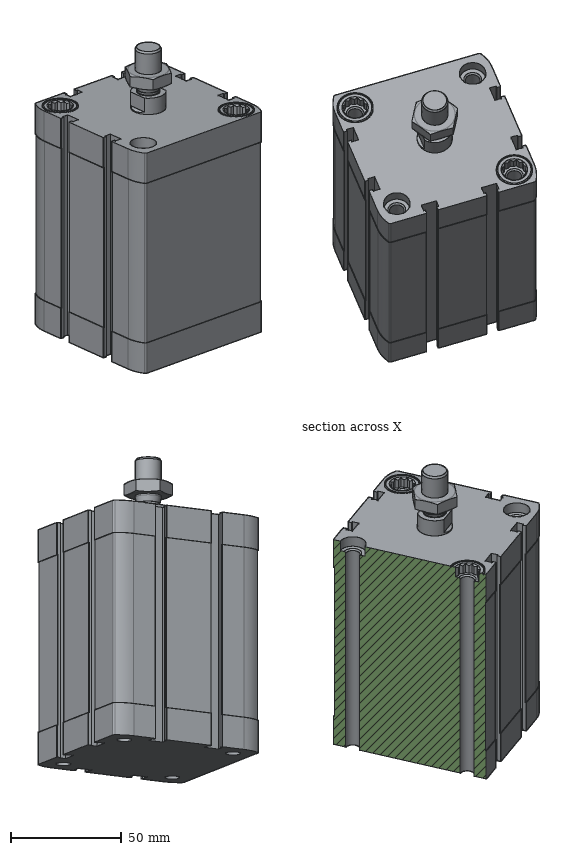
import cadquery as cq
import math

WIDTH = 75.5
TOTAL_HEIGHT = 139.0
ROD_PROJECTION = 30.0
BODY_HEIGHT = TOTAL_HEIGHT - ROD_PROJECTION
CAP_HEIGHT = 15.0
BARREL_INSET = 0.3
HALF = WIDTH / 2

CORNER_FLAT_END = 28.6
CORNER_RADIUS = 16.7
SIDE_BLEND = 1.3

SLOT_OFFSET = 14.5
SLOT_MOUTH = 5.4
SLOT_WIDTH = 7.2
SLOT_MOUTH_CHAMFER = 0.3
SLOT_LIP = 1.8
SLOT_DEPTH = 5.0

HOLE_OFFSET = 28.2
HOLE_DIAMETER = 6.7
HOLE_RIM_DIAMETER = 8.0
HOLE_COUNTERSINK = (HOLE_RIM_DIAMETER - HOLE_DIAMETER) / 2
RECESS_DIAMETER = 12.0
RECESS_DEPTH = 5.0

RING_OUTER = 16.4
RING_INNER = 16.0
RING_TOP = 15.0
RING_CHAMFER = (RING_INNER - RING_TOP) / 2
RING_DEPTH = 0.8
SOCKET_RIM = 12.0
SOCKET_ROOT = 11.4
SOCKET_TIP = 10.1
SOCKET_TEETH = 12
SOCKET_CHAMFER = (SOCKET_RIM - SOCKET_TIP) / 2
SOCKET_DEPTH = 5.0

ROD_DIAMETER = 16.0
SHOULDER_HEIGHT = 8.0
FLATS_WIDTH = 13.0
FLATS_START = 1.3
FLATS_RUNOUT = 0.8
NECK_DIAMETER = 10.1
NECK_BASE_DIAMETER = 10.7
NECK_BASE_HEIGHT = 0.3
NECK_TOP = 9.5
RUNOUT_DIAMETER = 10.7
THREAD_DIAMETER = 12.0
THREAD_START = 12.2
TIP_DIAMETER = 10.7
TIP_CHAMFER = 1.0

NUT_ACROSS_FLATS = 19.0
NUT_THICKNESS = 6.0
NUT_START = 12.9
NUT_FACE_DIAMETER = 18.5
NUT_CHAMFER_ANGLE = 15.0


def quarter_outline(inset):
    """One quarter of the housing cross-section, set back by `inset`, without slots."""
    half = HALF - inset
    radius = CORNER_RADIUS - inset
    blend = SIDE_BLEND - inset
    arc_y = half - radius
    blend_x = half - blend
    reach = radius - blend
    blend_y = arc_y + math.sqrt(reach**2 - (blend_x - CORNER_FLAT_END) ** 2)
    join = math.atan2(blend_y - arc_y, blend_x - CORNER_FLAT_END)

    def arc_point(x, y, size, angle):
        return x + size * math.cos(angle), y + size * math.sin(angle)

    join_point = arc_point(blend_x, blend_y, blend, join)
    return (
        cq.Workplane("XY")
        .lineTo(half, 0)
        .lineTo(half, blend_y)
        .threePointArc(arc_point(blend_x, blend_y, blend, join / 2), join_point)
        .threePointArc(
            arc_point(CORNER_FLAT_END, arc_y, radius, (join + math.pi / 2) / 2),
            (CORNER_FLAT_END, half),
        )
        .lineTo(0, half)
        .close()
    )


def t_slot(inset, height):
    """T-shaped slot cutter for the -Y face, which is set back by `inset`."""
    face = inset - HALF
    lip = SLOT_LIP - HALF
    floor = SLOT_DEPTH - HALF
    mouth = SLOT_MOUTH / 2
    right_side = [
        (mouth + SLOT_MOUTH_CHAMFER, face),
        (mouth, face + SLOT_MOUTH_CHAMFER),
        (mouth, lip),
        (SLOT_WIDTH / 2, lip),
        (SLOT_WIDTH / 2, floor),
    ]
    left_side = [(-x, y) for x, y in reversed(right_side)]
    return cq.Workplane("XY").polyline(right_side + left_side).close().extrude(height)


def body_block(inset, height):
    """Slotted prism of the housing outline, completed from one quarter by mirroring."""
    quarter = quarter_outline(inset).extrude(height)
    half_block = quarter.union(quarter.mirror("YZ"))
    block = half_block.union(half_block.mirror("XZ")).clean()

    for turn in (0, 180, -90):
        for side in (-SLOT_OFFSET, SLOT_OFFSET):
            slot = t_slot(inset, height).translate((side, 0, 0))
            block = block.cut(slot.rotate((0, 0, 0), (0, 0, 1), turn))
    return block


def revolved(points):
    """Solid of revolution about Z from (radius, height) points."""
    return cq.Workplane("XZ").polyline(points).close().revolve(360, (0, 0), (0, 1))


def screw_hole(recess_depth):
    """Through hole with a countersink that starts at the floor of the recess."""
    floor = BODY_HEIGHT - recess_depth
    return revolved(
        [
            (0, 0),
            (HOLE_DIAMETER / 2, 0),
            (HOLE_DIAMETER / 2, floor - HOLE_COUNTERSINK),
            (HOLE_RIM_DIAMETER / 2, floor),
            (0, floor),
        ]
    )


def plain_corner():
    """Cutter for a screw hole below a round recess."""
    recess = cq.Workplane("XY", origin=(0, 0, BODY_HEIGHT)).circle(RECESS_DIAMETER / 2).extrude(-RECESS_DEPTH)
    return recess.union(screw_hole(RECESS_DEPTH))


def ringed_corner():
    """Cutter for a screw hole below a toothed socket, inside a narrow ring groove."""
    top = BODY_HEIGHT
    ring = revolved(
        [
            (RING_OUTER / 2, top),
            (RING_OUTER / 2, top - RING_DEPTH),
            (RING_INNER / 2, top - RING_DEPTH),
            (RING_INNER / 2, top - RING_CHAMFER),
            (RING_TOP / 2, top),
        ]
    )
    lead_in = revolved(
        [
            (0, top),
            (SOCKET_RIM / 2, top),
            (SOCKET_TIP / 2, top - SOCKET_CHAMFER),
            (0, top - SOCKET_CHAMFER),
        ]
    )
    star = []
    for index in range(2 * SOCKET_TEETH):
        angle = index * math.pi / SOCKET_TEETH
        radius = (SOCKET_TIP if index % 2 else SOCKET_ROOT) / 2
        star.append((radius * math.cos(angle), radius * math.sin(angle)))
    socket_top = top - (SOCKET_RIM - SOCKET_ROOT) / 2
    socket = cq.Workplane("XY", origin=(0, 0, socket_top)).polyline(star).close()
    socket = socket.extrude(top - SOCKET_DEPTH - socket_top)
    return ring.union(lead_in).union(socket).union(screw_hole(SOCKET_DEPTH))


def make_housing(rod):
    """Barrel between two end caps, with corner holes and a hole that fits the rod."""
    body = body_block(BARREL_INSET, BODY_HEIGHT - 2 * CAP_HEIGHT).translate((0, 0, CAP_HEIGHT))
    for base in (0, BODY_HEIGHT - CAP_HEIGHT):
        body = body.union(body_block(0, CAP_HEIGHT).translate((0, 0, base)))

    for sign in (-1, 1):
        body = body.cut(ringed_corner().translate((sign * HOLE_OFFSET, sign * HOLE_OFFSET, 0)))
        body = body.cut(plain_corner().translate((sign * HOLE_OFFSET, -sign * HOLE_OFFSET, 0)))

    return body.cut(rod)


def wrench_flat():
    """Cutter for the wrench flat on the +Y side, with a ledge that slopes down and out."""
    flat = FLATS_WIDTH / 2
    edge = ROD_DIAMETER / 2
    start = BODY_HEIGHT + FLATS_START
    shoulder = BODY_HEIGHT + SHOULDER_HEIGHT
    section = cq.Workplane("YZ").polyline(
        [(flat, start), (edge, start - FLATS_RUNOUT), (edge, shoulder), (flat, shoulder)]
    )
    return section.close().extrude(ROD_DIAMETER / 2, both=True)


def make_rod():
    """Piston rod that starts at the lower face of the top cap."""
    top = BODY_HEIGHT
    rod = revolved(
        [
            (0, top - CAP_HEIGHT),
            (ROD_DIAMETER / 2, top - CAP_HEIGHT),
            (ROD_DIAMETER / 2, top + SHOULDER_HEIGHT),
            (NECK_BASE_DIAMETER / 2, top + SHOULDER_HEIGHT),
            (NECK_DIAMETER / 2, top + SHOULDER_HEIGHT + NECK_BASE_HEIGHT),
            (NECK_DIAMETER / 2, top + NECK_TOP),
            (RUNOUT_DIAMETER / 2, top + NECK_TOP),
            (THREAD_DIAMETER / 2, top + THREAD_START),
            (THREAD_DIAMETER / 2, TOTAL_HEIGHT - TIP_CHAMFER),
            (TIP_DIAMETER / 2, TOTAL_HEIGHT),
            (0, TOTAL_HEIGHT),
        ]
    )
    return rod.cut(wrench_flat()).cut(wrench_flat().mirror("XZ"))


def make_nut(rod):
    """Hexagon nut with its corners on the Y axis, chamfered on both faces."""
    base = BODY_HEIGHT + NUT_START
    across_corners = NUT_ACROSS_FLATS / math.cos(math.pi / 6)
    hexagon = cq.Workplane("XY").polygon(6, across_corners).extrude(NUT_THICKNESS)
    hexagon = hexagon.rotate((0, 0, 0), (0, 0, 1), 90)
    face = NUT_FACE_DIAMETER / 2
    corner = across_corners / 2
    drop = (corner - face) * math.tan(math.radians(NUT_CHAMFER_ANGLE))
    envelope = revolved(
        [
            (0, 0),
            (face, 0),
            (corner, drop),
            (corner, NUT_THICKNESS - drop),
            (face, NUT_THICKNESS),
            (0, NUT_THICKNESS),
        ]
    )
    return hexagon.intersect(envelope).translate((0, 0, base)).cut(rod)


rod = make_rod()
housing = make_housing(rod)
nut = make_nut(rod)

result = cq.Compound.makeCompound([housing.val(), rod.val(), nut.val()])